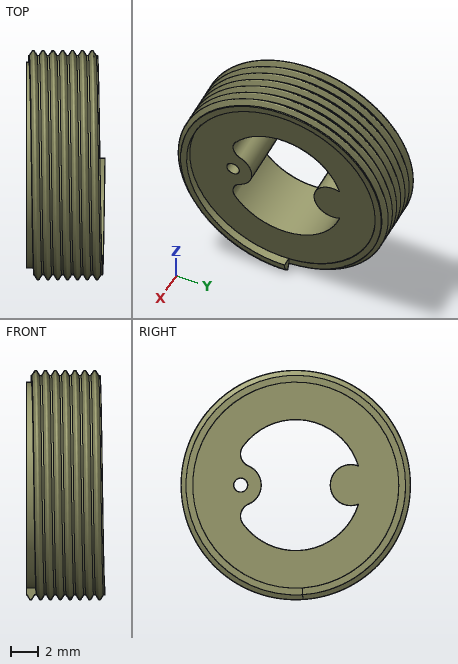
import cadquery as cq
import math

OUTER_RADIUS = 8.35
ROOT_RADIUS = 15.98 / 2
CORE_RADIUS = 15.0 / 2
OVERALL_LENGTH = 5.73
CORE_LENGTH = 5.01

TURNS = 7.01
PITCH = OVERALL_LENGTH / (TURNS + 1)
RIDGE_START = 0.03
RIDGE_WIDTH = 0.57
CREST_WIDTH = 0.2
CREST_HEIGHT = 0.07
RIDGE_EMBED = 0.042
CUT_CLEARANCE = 0.33

BORE_RADIUS = 4.76
LOBE_OFFSET = 4.0
LOBE_RADIUS = 1.5
PIN_HOLE_DIAMETER = 1.0
LUG_FILLET = 0.95


def cylinder(radius, length, start=0.0, y=0.0):
    return cq.Workplane("YZ", origin=(start, y, 0)).circle(radius).extrude(length)


def wind(profile, turns, start_turn=0.0):
    """Wind a (radius, axial) profile, drawn on the XZ plane, around Z from the given turn."""
    path = cq.Wire.makeHelix(PITCH, PITCH * turns, ROOT_RADIUS)
    strip = profile.sweep(cq.Workplane(obj=path), isFrenet=True)
    return strip.rotate((0, 0, 0), (0, 0, 1), 360 * start_turn).translate((0, 0, PITCH * start_turn))


def lay_along_x(body):
    """Turn Z onto X, so that winding starts at the bottom (-Z) of the ring."""
    return body.rotate((0, 0, 0), (0, 1, 0), 90)


def end_cutter(inner_radius, start_turn, shift):
    """One turn of a rectangular strip that leaves a helical shoulder on the thread band.

    The strip lies one pitch below the band start at that turn, then moves along X by the shift.
    """
    width = OUTER_RADIUS + CUT_CLEARANCE - inner_radius
    profile = (
        cq.Workplane("XZ")
        .moveTo(inner_radius, -PITCH)
        .rect(width, PITCH, centered=False)
    )
    return lay_along_x(wind(profile, 1.0, start_turn)).translate((shift, 0, 0))


def thread_ridge():
    """Rounded-crest ridge whose flanks run straight on into the root cylinder."""
    middle = RIDGE_START + RIDGE_WIDTH / 2
    shoulder_radius = OUTER_RADIUS - CREST_HEIGHT
    half_crest = CREST_WIDTH / 2
    flank_slope = (RIDGE_WIDTH / 2 - half_crest) / (shoulder_radius - ROOT_RADIUS)
    half_base = RIDGE_WIDTH / 2 + RIDGE_EMBED * flank_slope
    base_radius = ROOT_RADIUS - RIDGE_EMBED
    profile = (
        cq.Workplane("XZ")
        .moveTo(base_radius, middle - half_base)
        .lineTo(shoulder_radius, middle - half_crest)
        .threePointArc((OUTER_RADIUS, middle), (shoulder_radius, middle + half_crest))
        .lineTo(base_radius, middle + half_base)
        .close()
    )
    return lay_along_x(wind(profile, TURNS))


def opening():
    """Bore without the rib and lug; the pockets beside the lug have rounded corners."""
    rib = cylinder(LOBE_RADIUS, OVERALL_LENGTH, y=LOBE_OFFSET)
    lug = cylinder(LOBE_RADIUS, OVERALL_LENGTH, y=-LOBE_OFFSET)
    bore = cylinder(BORE_RADIUS, OVERALL_LENGTH).cut(rib).cut(lug)
    corner_y = -(BORE_RADIUS**2 + LOBE_OFFSET**2 - LOBE_RADIUS**2) / (2 * LOBE_OFFSET)
    corner_z = math.sqrt(BORE_RADIUS**2 - corner_y**2)
    for z in (-corner_z, corner_z):
        corner = cq.selectors.NearestToPointSelector((OVERALL_LENGTH / 2, corner_y, z))
        bore = bore.edges("|X").edges(corner).fillet(LUG_FILLET)
    return bore


body = cylinder(ROOT_RADIUS, OVERALL_LENGTH).union(thread_ridge(), clean=False)
body = body.cut(end_cutter(CORE_RADIUS, 0.0, 0.0))
body = body.cut(end_cutter(CORE_RADIUS - CUT_CLEARANCE, TURNS - 1, 2 * PITCH))
body = body.cut(cylinder(CORE_RADIUS, OVERALL_LENGTH - CORE_LENGTH, start=CORE_LENGTH))

body = body.cut(opening())
result = body.cut(cylinder(PIN_HOLE_DIAMETER / 2, OVERALL_LENGTH, y=-LOBE_OFFSET))